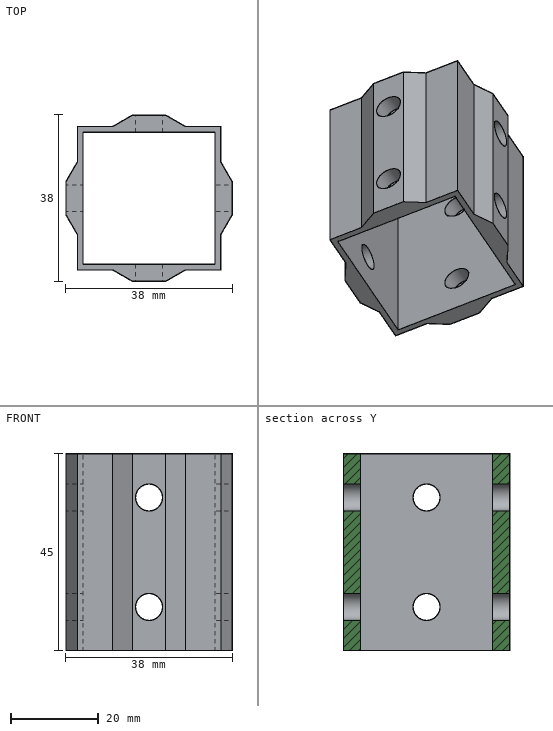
import cadquery as cq
import math

height = 45.0
overall_width = 38.0
bore_width = 30.1
wall = 1.35
pad_flat_width = 7.6
pad_slope_angle = 30.0
hole_diameter = 6.1
hole_end_distance = 10.0

tube_width = bore_width + 2 * wall
pad_height = (overall_width - tube_width) / 2
pad_base_width = pad_flat_width + 2 * pad_height / math.tan(math.radians(pad_slope_angle))
hole_heights = (hole_end_distance, height - hole_end_distance)


def square_prism(width):
    """Full-height square prism centred on the Z axis."""
    return cq.Workplane("XY").rect(width, width).extrude(height)


def pad_pair():
    """Full-height bar along Y whose tapered ends form two opposite pads."""
    return (
        cq.Workplane("XY")
        .moveTo(pad_base_width / 2, 0)
        .lineTo(pad_base_width / 2, tube_width / 2)
        .lineTo(pad_flat_width / 2, overall_width / 2)
        .lineTo(-pad_flat_width / 2, overall_width / 2)
        .lineTo(-pad_base_width / 2, tube_width / 2)
        .lineTo(-pad_base_width / 2, 0)
        .mirrorX()
        .extrude(height)
    )


def cross_hole(z):
    """Cylinder along Y that pierces both opposite pads at height z."""
    return (
        cq.Workplane("XZ", origin=(0, 0, z))
        .circle(hole_diameter / 2)
        .extrude(overall_width / 2, both=True)
    )


def quarter_turn(shape):
    """Copy of a shape turned 90 degrees about the Z axis."""
    return shape.rotate((0, 0, 0), (0, 0, 1), 90)


pads = pad_pair()
result = square_prism(tube_width).union(pads).union(quarter_turn(pads))
result = result.cut(square_prism(bore_width))

for z in hole_heights:
    hole = cross_hole(z)
    result = result.cut(hole).cut(quarter_turn(hole))